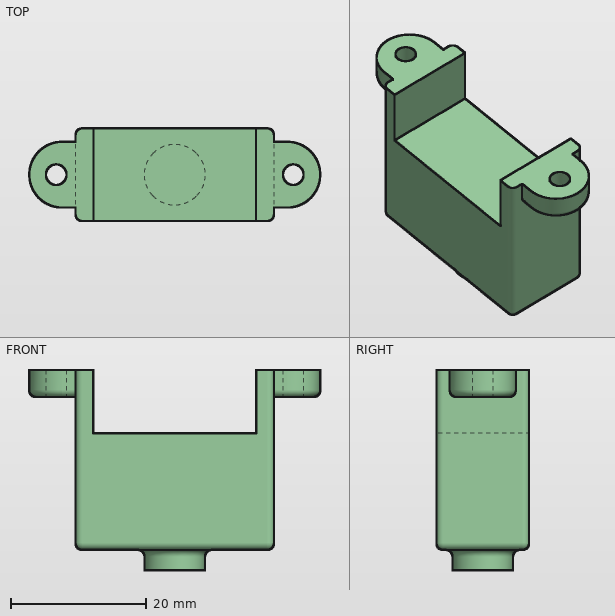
import cadquery as cq

total_length = 43.0
body_width = 13.7
total_height = 29.6

body_length = 29.33
edge_radius = 1.0
saddle_length = 24.0
saddle_depth = 9.35

boss_diameter = 9.0
boss_height = 3.0
boss_root_radius = 1.0

ear_width = 9.75
ear_thickness = 4.0
hole_diameter = 3.0
hole_spacing = 35.0

body_height = total_height - boss_height


def make_body():
    """Block on the plane Z = 0 with rounded upright and bottom edges."""
    block = cq.Workplane("XY").box(
        body_length, body_width, body_height, centered=(True, True, False)
    )
    return block.edges("|Z or <Z").fillet(edge_radius)


def add_boss(body):
    """Boss below the body, blended into the underside."""
    boss = cq.Workplane("XY").circle(boss_diameter / 2).extrude(-boss_height)
    joined = body.union(boss)
    root = joined.edges(cq.selectors.BoxSelector(
        (-boss_diameter, -boss_diameter, -boss_height / 2),
        (boss_diameter, boss_diameter, boss_height / 2),
    )).edges("%CIRCLE")
    return root.fillet(boss_root_radius)


def make_ears():
    """Both ears as one round-ended bar, rounded along its lower edge."""
    bar = (
        cq.Workplane("XY")
        .workplane(offset=body_height - ear_thickness)
        .slot2D(total_length, ear_width)
        .extrude(ear_thickness)
    )
    return bar.faces("<Z").edges().fillet(edge_radius)


def make_saddle():
    """Cutter that leaves an upright wall at each end of the body."""
    return (
        cq.Workplane("XY")
        .workplane(offset=body_height - saddle_depth)
        .rect(saddle_length, body_width)
        .extrude(saddle_depth)
    )


def make_holes():
    """Cutters for the screw holes through the ears."""
    return (
        cq.Workplane("XY")
        .workplane(offset=body_height - ear_thickness)
        .pushPoints([(-hole_spacing / 2, 0), (hole_spacing / 2, 0)])
        .circle(hole_diameter / 2)
        .extrude(ear_thickness)
    )


result = add_boss(make_body()).union(make_ears()).cut(make_saddle()).cut(make_holes())